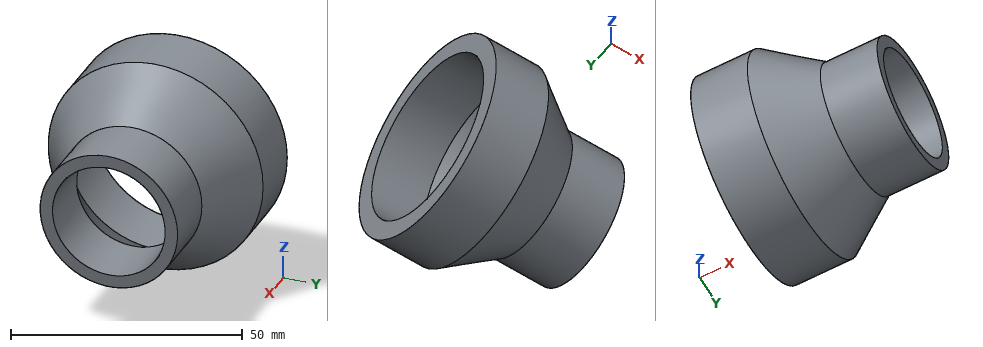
import cadquery as cq

wide_outer_diameter = 50.0
wide_bore_diameter = 40.8
narrow_outer_diameter = 32.0
narrow_bore_diameter = 26.2
total_length = 41.0
collar_length = 14.0

cone_end = total_length - collar_length


def reducer_solid(wide_diameter, narrow_diameter):
    """Solid of revolution about X: wide cylinder, cone, narrow cylinder."""
    wide_radius = wide_diameter / 2
    narrow_radius = narrow_diameter / 2
    profile = [
        (0, 0),
        (0, wide_radius),
        (collar_length, wide_radius),
        (cone_end, narrow_radius),
        (total_length, narrow_radius),
        (total_length, 0),
    ]
    return cq.Workplane("XY").polyline(profile).close().revolve(360, (0, 0, 0), (1, 0, 0))


outer_body = reducer_solid(wide_outer_diameter, narrow_outer_diameter)
bore = reducer_solid(wide_bore_diameter, narrow_bore_diameter)
result = outer_body.cut(bore)